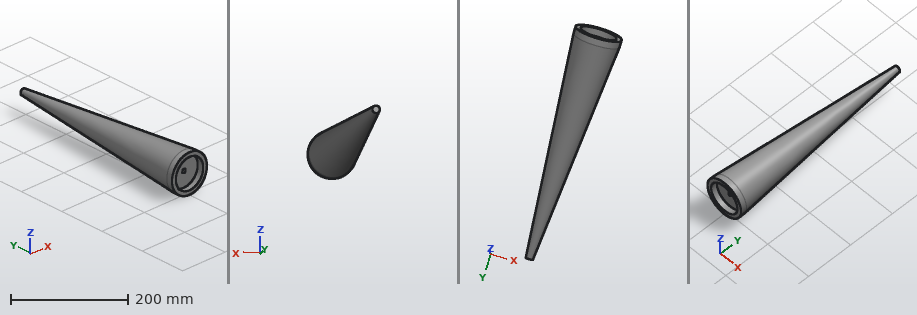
import cadquery as cq
import math

length = 412.8
base_radius = 41.3
tip_radius = 6.5
collar_length = 13.0

recess_radius = 32.0
recess_depth = 13.5

hole_radius = 4.0
hole_depth = 20.5
drill_point_angle = 118.0
drill_point_depth = hole_radius / math.tan(math.radians(drill_point_angle / 2))
hole_shoulder_y = recess_depth + hole_depth


def revolve_about_y(points):
    """Revolve a closed (radius, y) profile about the Y axis."""
    profile = cq.Workplane("XY").polyline(points).close()
    return profile.revolve(360, (0, 0, 0), (0, 1, 0))


body = revolve_about_y([
    (0, 0),
    (base_radius, 0),
    (base_radius, collar_length),
    (tip_radius, length),
    (0, length),
])

recess = revolve_about_y([
    (0, 0),
    (recess_radius, 0),
    (recess_radius, recess_depth),
    (0, recess_depth),
])

drilled_hole = revolve_about_y([
    (0, recess_depth),
    (hole_radius, recess_depth),
    (hole_radius, hole_shoulder_y),
    (0, hole_shoulder_y + drill_point_depth),
])

result = body.cut(recess).cut(drilled_hole)